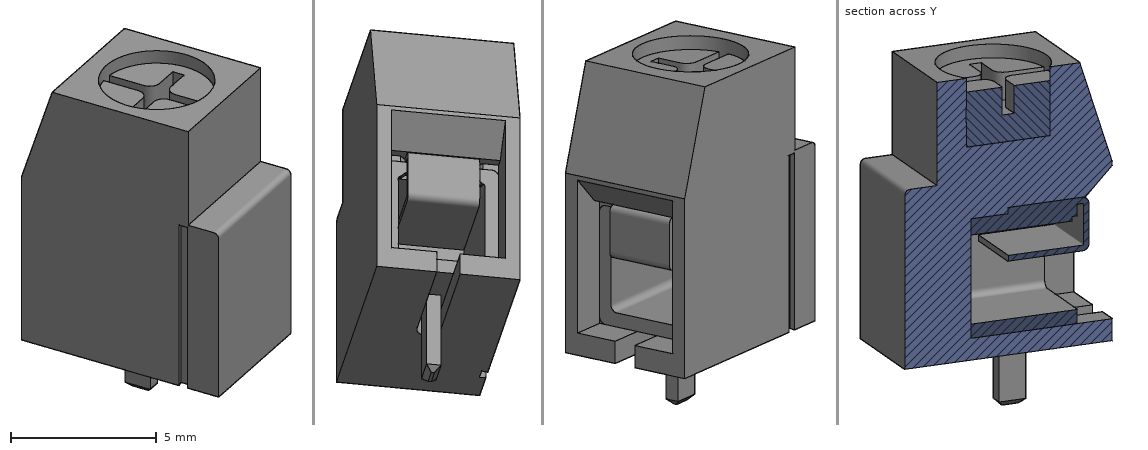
import cadquery as cq

LENGTH = 7.8
WIDTH = 5.0
HEIGHT = 10.2
TOP_START = 1.22
TOP_END = 6.6
SHOULDER = 6.49
STEP_ROUND = 0.2
GROOVE_END = 6.56
GROOVE_WIDTH = 0.32
GROOVE_DEPTH = 0.22
GROOVE_FLARE = 0.056
GROOVE_TOP = 6.39

FLOOR = 0.8
ENTRY_WIDTH = 3.97
ENTRY_TOP = 6.32
ENTRY_DEPTH = 1.31
LEAF_MOUTH_WIDTH = 2.88
PIN_SLOT_WIDTH = 0.82

FRAME_LENGTH = 3.99
FRAME_HEIGHT = 4.29
FRAME_ROUND = 0.25
FRAME_TOP = FLOOR + FRAME_HEIGHT
FRAME_END = ENTRY_DEPTH + FRAME_LENGTH
WINDOW_WIDTH = 3.01
WINDOW_BOTTOM = 1.31
WINDOW_TOP = 4.51
WINDOW_TOP_ROUND = 0.1
RELIEF_BASE = 2.85
RELIEF_HEIGHT = 0.16
RELIEF_DEPTH = 0.2
LEAF_WIDTH = 2.49
LEAF_THICKNESS = 0.22
LEAF_FRONT = 0.87
LEAF_BOTTOM = 3.39
LEAF_BEND = 0.25
LEAF_TOP = FRAME_TOP + LEAF_THICKNESS
PIN_LENGTH = 1.0
PIN_WIDTH = 0.51
PIN_DROP = 2.2
PIN_CHAMFER = 0.2
PIN_X = ENTRY_DEPTH + FRAME_LENGTH / 2

SCREW_X = 3.92
HEAD_DIAMETER = 3.99
HEAD_RECESS = 0.5
HEAD_TOP = HEIGHT - HEAD_RECESS
HEAD_HEIGHT = 1.98
HEAD_BOTTOM = HEAD_TOP - HEAD_HEIGHT
SHANK_DIAMETER = 2.48
DRIVE_DEPTH = 1.0
LONG_SLOT_WIDTH = 0.4
CROSS_SLOT_WIDTH = 0.45
CROSS_SLOT_LENGTH = 3.0
DRIVE_ROUND = 0.4


def block(x_start, x_end, width, z_bottom, z_top):
    """Box centred on the plane y = 0."""
    size = (x_end - x_start, width, z_top - z_bottom)
    return cq.Workplane("XY").box(*size, centered=(False, True, False)).translate((x_start, 0, z_bottom))


def rounded_block(x_start, x_end, width, z_bottom, z_top):
    """Block with its four edges along X rounded."""
    return block(x_start, x_end, width, z_bottom, z_top).edges("|X").fillet(FRAME_ROUND)


def side_extrusion(points, width):
    """XZ outline extruded evenly to both sides of y = 0."""
    return cq.Workplane("XZ").polyline(points).close().extrude(width / 2, both=True)


def cylinder(x, diameter, z_bottom, z_top):
    """Upright cylinder on the plane y = 0."""
    return cq.Workplane("XY", origin=(x, 0, z_bottom)).circle(diameter / 2).extrude(z_top - z_bottom)


def round_ended_slot(x_end_centre, width, z_bottom, z_top):
    """Slot running back from x = 0 to a half-round end."""
    straight = block(0, x_end_centre, width, z_bottom, z_top)
    return straight.union(cylinder(x_end_centre, width, z_bottom, z_top))


def make_housing():
    outline = [
        (0, 0), (LENGTH, 0), (LENGTH, SHOULDER), (TOP_END, SHOULDER),
        (TOP_END, HEIGHT), (TOP_START, HEIGHT), (0, SHOULDER),
    ]
    body = side_extrusion(outline, WIDTH)
    body = body.faces(">X").edges(">Z").fillet(STEP_ROUND)

    groove_start = GROOVE_END - GROOVE_WIDTH
    groove_floor = GROOVE_DEPTH - WIDTH / 2
    groove_outline = [
        (groove_start, -WIDTH / 2), (GROOVE_END, -WIDTH / 2),
        (GROOVE_END + GROOVE_FLARE, groove_floor), (groove_start - GROOVE_FLARE, groove_floor),
    ]
    groove = cq.Workplane("XY").polyline(groove_outline).close().extrude(GROOVE_TOP)

    entry_outline = [
        (0, FLOOR), (ENTRY_DEPTH, FLOOR), (ENTRY_DEPTH, LEAF_TOP),
        (ENTRY_TOP - LEAF_TOP, LEAF_TOP), (0, ENTRY_TOP),
    ]
    entry = side_extrusion(entry_outline, ENTRY_WIDTH)
    frame_pocket = rounded_block(ENTRY_DEPTH, FRAME_END, ENTRY_WIDTH, FLOOR, FRAME_TOP)

    mouth_end = ENTRY_DEPTH + (LEAF_MOUTH_WIDTH - LEAF_WIDTH) / 2
    mouth_outline = [
        (ENTRY_DEPTH, LEAF_MOUTH_WIDTH / 2), (ENTRY_DEPTH, -LEAF_MOUTH_WIDTH / 2),
        (mouth_end, -LEAF_WIDTH / 2), (mouth_end, LEAF_WIDTH / 2),
    ]
    leaf_mouth = cq.Workplane("XY", origin=(0, 0, FRAME_TOP)).polyline(mouth_outline).close()
    leaf_slot = block(ENTRY_DEPTH, SCREW_X, LEAF_WIDTH, FRAME_TOP, LEAF_TOP)
    leaf_slot = leaf_slot.union(leaf_mouth.extrude(LEAF_THICKNESS))

    pin_slot = round_ended_slot(PIN_X + PIN_LENGTH / 2, PIN_SLOT_WIDTH, 0, FLOOR)

    head_bore = cylinder(SCREW_X, HEAD_DIAMETER, HEAD_BOTTOM, HEIGHT)
    shank_bore = cylinder(SCREW_X, SHANK_DIAMETER, LEAF_TOP, HEAD_BOTTOM)

    for cut in (groove, entry, frame_pocket, leaf_slot, pin_slot, head_bore, shank_bore):
        body = body.cut(cut)
    return body


def make_screw():
    head = cylinder(SCREW_X, HEAD_DIAMETER, HEAD_BOTTOM, HEAD_TOP)
    shank = cylinder(SCREW_X, SHANK_DIAMETER, LEAF_TOP, HEAD_BOTTOM)

    slots = cq.Workplane("XY").rect(HEAD_DIAMETER, LONG_SLOT_WIDTH).extrude(DRIVE_DEPTH)
    cross_slot = cq.Workplane("XY").rect(CROSS_SLOT_WIDTH, CROSS_SLOT_LENGTH).extrude(DRIVE_DEPTH)
    slots = slots.union(cross_slot)
    inner_corners = cq.selectors.BoxSelector(
        (-CROSS_SLOT_WIDTH, -LONG_SLOT_WIDTH, 0), (CROSS_SLOT_WIDTH, LONG_SLOT_WIDTH, DRIVE_DEPTH)
    )
    slots = slots.edges("|Z").edges(inner_corners).fillet(DRIVE_ROUND)
    return head.union(shank).cut(slots.translate((SCREW_X, 0, HEAD_TOP - DRIVE_DEPTH)))


def make_leaf():
    """Strip folded over the front bar of the frame and back in below it."""
    outer = block(LEAF_FRONT, SCREW_X, LEAF_WIDTH, LEAF_BOTTOM, LEAF_TOP)
    outer = outer.edges("|Y and <X").fillet(LEAF_BEND)
    inner = block(
        LEAF_FRONT + LEAF_THICKNESS, SCREW_X, LEAF_WIDTH, LEAF_BOTTOM + LEAF_THICKNESS, FRAME_TOP
    )
    inner = inner.edges("|Y and <X").fillet(LEAF_BEND - LEAF_THICKNESS)
    return outer.cut(inner)


def make_terminal():
    frame = rounded_block(ENTRY_DEPTH, FRAME_END, ENTRY_WIDTH, FLOOR, FRAME_TOP)
    window = block(ENTRY_DEPTH, FRAME_END, WINDOW_WIDTH, WINDOW_BOTTOM, WINDOW_TOP)
    window = window.faces("<Z").edges("|X").fillet(FRAME_ROUND)
    window = window.faces(">Z").edges("|X").fillet(WINDOW_TOP_ROUND)

    half_base = RELIEF_BASE / 2
    half_top = LEAF_WIDTH / 2
    relief_top = WINDOW_TOP + RELIEF_HEIGHT
    relief_outline = [
        (-half_base, WINDOW_TOP), (half_base, WINDOW_TOP), (half_top, relief_top), (-half_top, relief_top),
    ]
    relief = cq.Workplane("YZ", origin=(ENTRY_DEPTH, 0, 0)).polyline(relief_outline).close()
    relief = relief.extrude(RELIEF_DEPTH)

    pin = block(PIN_X - PIN_LENGTH / 2, PIN_X + PIN_LENGTH / 2, PIN_WIDTH, -PIN_DROP, FLOOR)
    pin = pin.faces("<Z").edges().chamfer(PIN_CHAMFER)
    return frame.cut(window).cut(relief).union(make_leaf()).union(pin)


housing = make_housing()
screw = make_screw()
terminal = make_terminal()

result = cq.Compound.makeCompound([housing.val(), screw.val(), terminal.val()])